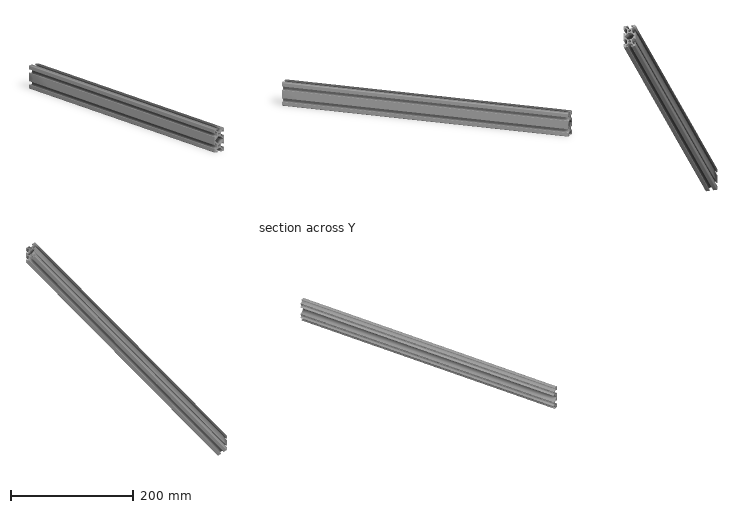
import cadquery as cq
import math

length = 500.0
cell = 20.0
half_cell = cell / 2
corner_radius = 1.5

half_core = 3.95
bore_diameter = 4.7
web_thickness = 2.1
web_offset = web_thickness / math.sqrt(2)

half_opening = 2.85
corner_block = 4.4
half_slot = half_cell - corner_block
lip_thickness = 1.5
lip_chamfer = 0.3

outer_wall = 1.8


def section():
    """Plane at the -X end whose local x is +Y and local y is +Z."""
    return cq.Workplane("YZ", origin=(-length / 2, 0, 0))


def bar():
    """Solid bar with its four long edges rounded."""
    return section().rect(cell, 2 * cell).extrude(length).edges("|X").fillet(corner_radius)


def t_slot(angle):
    """Slot cutter for a cell centred on the X axis: open toward +Z, then turned about X."""
    lip_level = half_cell - lip_thickness
    half_outline = [
        (half_opening + lip_chamfer, half_cell),
        (half_opening, half_cell - lip_chamfer),
        (half_opening, lip_level),
        (half_slot, lip_level),
        (half_slot, half_slot + web_offset),
        (half_core - web_offset, half_core),
    ]
    other_half = [(-y, z) for y, z in reversed(half_outline)]
    cutter = section().polyline(half_outline + other_half).close().extrude(length)
    return cutter.rotate((0, 0, 0), (1, 0, 0), angle)


def center_hollow():
    """Octagonal hollow with its sloped sides along the inner faces of the webs."""
    half_width = half_cell - outer_wall
    half_height = half_cell - half_core
    slope_sum = half_cell - web_offset
    right_half = [
        (slope_sum - half_height, half_height),
        (half_width, slope_sum - half_width),
        (half_width, half_width - slope_sum),
        (slope_sum - half_height, -half_height),
    ]
    left_half = [(-y, z) for y, z in reversed(right_half)]
    return section().polyline(right_half + left_half).close().extrude(length)


result = bar().cut(center_hollow())

for cell_z, end_angle in ((half_cell, 0), (-half_cell, 180)):
    for slot_angle in (90, -90, end_angle):
        result = result.cut(t_slot(slot_angle).translate((0, 0, cell_z)))
    bore = section().center(0, cell_z).circle(bore_diameter / 2).extrude(length)
    result = result.cut(bore)